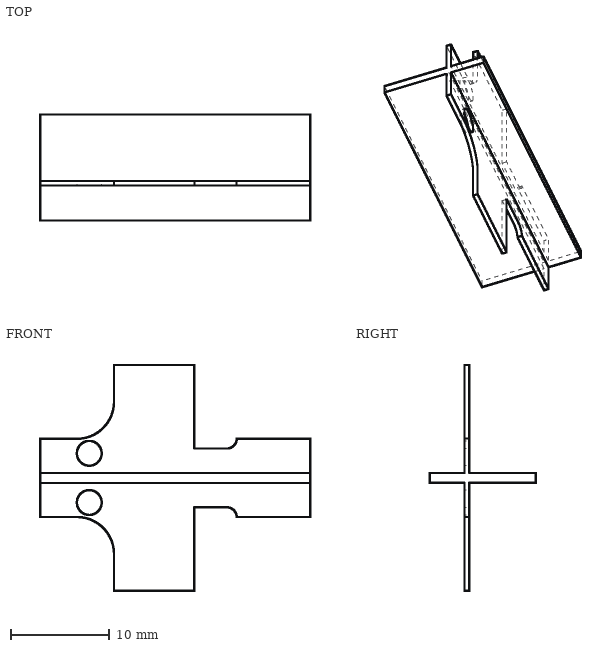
import cadquery as cq

length = 27.5
plate_depth = 10.8
blade_height = 23.0

plate_thickness = 1.02
blade_thickness = 0.5
blade_front_offset = 3.55

arm_half_height = 4.0
neck_half_height = 3.0
fin_left = 7.5
fin_right = 15.7
fillet_radius = 3.75
neck_end_radius = arm_half_height - neck_half_height
right_arm_start = 20.0

hole_diameter = 2.5
hole_x = 5.0
hole_z = 2.5


def make_plate():
    """Flat plate centred on Z = 0, with its left front edge at X = Y = 0."""
    return cq.Workplane("XY").box(length, plate_depth, plate_thickness, centered=(False, False, True))


def make_upper_blade():
    """Upper half of the blade: tall fin with a curved left root and a narrow neck on its right."""
    outline = (
        cq.Workplane("XZ", origin=(0, blade_front_offset, 0))
        .lineTo(0, arm_half_height)
        .lineTo(fin_left - fillet_radius, arm_half_height)
        .tangentArcPoint((fin_left, arm_half_height + fillet_radius), relative=False)
        .lineTo(fin_left, blade_height / 2)
        .lineTo(fin_right, blade_height / 2)
        .lineTo(fin_right, neck_half_height)
        .lineTo(right_arm_start - neck_end_radius, neck_half_height)
        .tangentArcPoint((right_arm_start, arm_half_height), relative=False)
        .lineTo(length, arm_half_height)
        .lineTo(length, 0)
        .close()
    )
    blade = outline.extrude(-blade_thickness)
    hole = (
        cq.Workplane("XZ", origin=(0, blade_front_offset, 0))
        .center(hole_x, hole_z)
        .circle(hole_diameter / 2)
        .extrude(-blade_thickness)
    )
    return blade.cut(hole)


upper_blade = make_upper_blade()
lower_blade = upper_blade.mirror("XY")

result = (
    make_plate()
    .union(upper_blade)
    .union(lower_blade)
    .translate((-length / 2, -plate_depth / 2, 0))
)